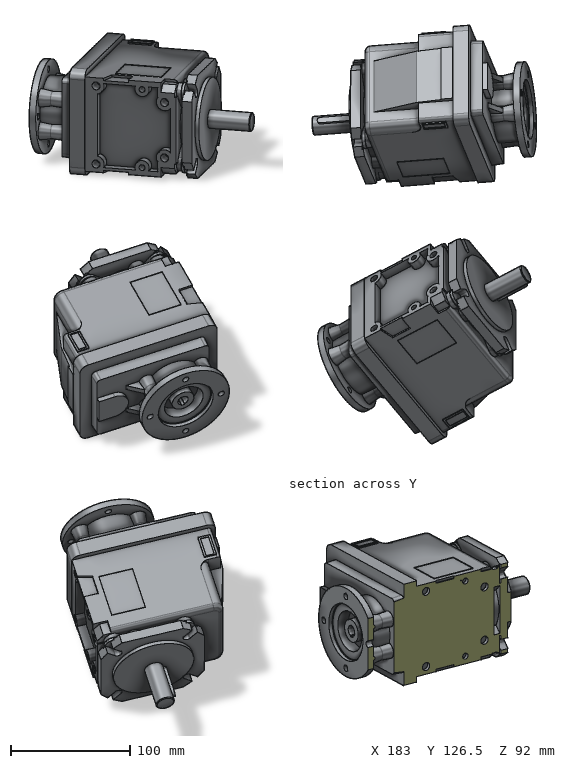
import cadquery as cq
import math


input_flange_end = 5.9
neck_waist = 16.1
pad_start = 26.5
plate_start = 36.5
box_start = 49.8
box_end = 128.0
adapter_root = box_end - 1.8
adapter_step = 132.1
output_flange_start = 134.7
output_flange_end = 143.1
pilot_end = 146.4
shaft_end = 183.0

overlap = 1.0
clearance = 1.8

plate_bottom = -44.5
plate_top = 80.9
plate_height = 92.0
plate_corner = 7.7
box_bottom = -44.1
box_top = 66.5
box_half_height = 41.2
box_top_round = 8.6
box_end_round = 4.5
outside_y = box_bottom - clearance

input_flange_dia = 80.0
input_bolt_circle = 65.0
input_bolt_dia = 5.5
input_pilot_dia = 50.0
input_pilot_depth = 4.0
pilot_floor_chamfer = 0.5
neck_dia = 53.0
neck_bore_dia = 35.1
neck_bore_end = 15.0
hub_dia = 20.0
hub_start = 5.7
hub_bore_dia = 9.3
hub_bore_end = 25.6
keyway_width = 3.0
keyway_reach = 5.5
screw_boss_y = 24.7
screw_boss_z = 14.3
boss_waist_radius = 6.2
boss_flange_radius = 7.9
boss_pad_radius = 7.0

output_half_width = 45.0
output_flat_half = 26.7
slot_mouth_inner = 34.4
slot_mouth_outer = 39.2
output_bolt_radius = 42.5
output_pilot_dia = 70.0
shaft_dia = 16.0
shaft_chamfer = 0.7
key_width = 5.0
key_start = 147.9
key_end = 177.9
key_top = 10.0


def x_plane(x):
    """Sketch plane facing +X at station x; its local axes are Y and Z."""
    return cq.Workplane("YZ", origin=(x, 0, 0))


def disc(start, end, dia, y=0.0, z=0.0):
    """Cylinder along X."""
    return x_plane(start).center(y, z).circle(dia / 2).extrude(end - start)


def block(x_range, y_range, z_range):
    """Box given by its lower and upper limits on each axis."""
    sizes = [high - low for low, high in (x_range, y_range, z_range)]
    corner = (x_range[0], y_range[0], z_range[0])
    return cq.Workplane("XY").box(*sizes, centered=False).translate(corner)


def slab(points, low, high):
    """Outline in X and Y, extruded along Z."""
    return cq.Workplane("XY", origin=(0, 0, low)).polyline(points).close().extrude(high - low)


def both_sides(shape):
    """The shape together with its mirror image across Z = 0."""
    return shape.union(shape.mirror("XY"))


def cover_plate():
    """Rounded plate between the box and the drafted pad."""
    return (
        x_plane(plate_start)
        .center((plate_top + plate_bottom) / 2, 0)
        .rect(plate_top - plate_bottom, plate_height)
        .extrude(box_start - plate_start)
        .edges("|X")
        .fillet(plate_corner)
    )


def cover_pad():
    """Drafted pad on the outer plate, narrowing towards -X."""
    pad_middle = 18.5
    pad_width = 103.5
    pad_height = 69.9
    pad_draft = 4
    pad_corner = 4.2
    outline = cq.Sketch().rect(pad_width, pad_height).vertices().fillet(pad_corner)
    base = cq.Plane(origin=(plate_start, pad_middle, 0), xDir=(0, -1, 0), normal=(-1, 0, 0))
    return cq.Workplane(base).placeSketch(outline).extrude(plate_start - pad_start, taper=pad_draft)


def cover_tongue():
    """Round-ended pad that stands on the cover pad."""
    tongue_start = 22.1
    tongue_top = 69.5
    tongue_round_y = 55.0
    tongue_radius = 12.5
    length = pad_start + overlap - tongue_start
    straight = block(
        (tongue_start, tongue_start + length),
        (tongue_round_y, tongue_top),
        (-tongue_radius, tongue_radius),
    )
    return straight.union(disc(tongue_start, tongue_start + length, 2 * tongue_radius, tongue_round_y))


def main_box():
    """Plain box with rounded +Y edges and a rounded +X end, flat at -Y."""
    box = block((box_start, box_end), (box_bottom, box_top), (-box_half_height, box_half_height))
    box = box.edges(">Y and |X").fillet(box_top_round)
    return box.faces(">X").edges("not <Y").fillet(box_end_round)


def shoulder():
    """Higher part of the box next to the plates, with a hollow rounded end."""
    shoulder_top = 77.0
    shoulder_round = 3.3
    base_y = box_top - 2 * box_top_round
    outline = (
        cq.Workplane("XY", origin=(0, 0, -box_half_height))
        .moveTo(box_start, base_y)
        .lineTo(box_start, shoulder_top)
        .lineTo(79.8, shoulder_top)
        .lineTo(79.8, box_top)
        .threePointArc((82.2, 60.4), (88.2, box_top - box_top_round))
        .lineTo(88.2, base_y)
        .close()
    )
    return outline.extrude(2 * box_half_height).edges(">Y and |X").fillet(shoulder_round)


def top_ridge():
    """Central ridge that runs down from the plates to the box."""
    ridge_half_width = 23.8
    ridge_top = 81.5
    points = [
        (box_start, box_top - box_top_round),
        (box_start, ridge_top),
        (59.8, ridge_top),
        (59.8, 80.3),
        (81.0, 78.5),
        (119.5, box_top),
        (119.5, box_top - box_top_round),
    ]
    return slab(points, -ridge_half_width, ridge_half_width)


def badge_frame():
    """Raised badge with a sunk middle."""
    badge_top = 42.3
    sunk_depth = 0.5
    badge = block((57.0, 77.2), (63.5, 74.1), (box_half_height - overlap, badge_top))
    sunk = block((58.7, 76.5), (65.3, 72.3), (badge_top - sunk_depth, badge_top))
    return badge.cut(sunk)


def end_slab():
    """Raised strip on the +X end behind the open side."""
    return block((box_end - overlap, 129.0), (box_bottom, -20.7), (-29.1, 29.1))


def nameplate_recesses():
    """Shallow rectangle and the slanted tag recess at the -Y edge."""
    plate_depth = 0.5
    tag_depth = 2.0
    above = box_half_height + clearance
    rectangle = block((71.5, 111.5), (-26.7, 2.5), (box_half_height - plate_depth, above))
    tag_points = [(65.5, outside_y), (69.9, -31.7), (87.7, -31.7), (87.7, outside_y)]
    return rectangle.union(slab(tag_points, box_half_height - tag_depth, above))


def corner_notch():
    """Flat-floored notch with a slope down to the -Y face."""
    notch_start = 116.0
    floor_z = 38.8
    slope_start_y = -38.6
    slope_end_z = 32.8
    above = box_half_height + clearance
    return (
        x_plane(notch_start)
        .polyline(
            [
                (-31.7, above),
                (-31.7, floor_z),
                (slope_start_y, floor_z),
                (box_bottom, slope_end_z),
                (outside_y, slope_end_z),
                (outside_y, above),
            ]
        )
        .close()
        .extrude(box_end - notch_start + clearance)
    )


def side_recess():
    """Recess in the -Y face that leaves the screw bosses standing, and the screw holes."""
    recess_depth = 7.9
    recess_start = 60.5
    wide_end = 113.1
    narrow_end = 124.3
    wide_half = 36.6
    narrow_half = 24.2
    hole_depth = 14.6
    screws = [
        (59.5, 34.0, 7.1, 6.8),
        (99.5, 34.0, 6.2, 5.0),
        (119.1, 24.2, 7.1, 6.8),
    ]
    floor_y = box_bottom + recess_depth
    recess = block((recess_start, wide_end), (outside_y, floor_y), (-wide_half, wide_half))
    recess = recess.union(
        block((recess_start, narrow_end), (outside_y, floor_y), (-narrow_half, narrow_half))
    )
    side_face = cq.Workplane("XZ", origin=(0, outside_y, 0))
    for x, z, boss_radius, hole_dia in screws:
        places = [(x, z), (x, -z)]
        centres = side_face.pushPoints(places)
        boss = centres.circle(boss_radius).extrude(-recess_depth - 2 * clearance)
        hole = centres.circle(hole_dia / 2).extrude(-hole_depth - clearance)
        recess = recess.cut(boss).union(hole)
    return recess


def input_neck():
    """Round neck with four waisted screw bosses and two gusset ribs."""
    neck = disc(input_flange_end - overlap, pad_start + overlap, neck_dia)
    boss = (
        cq.Workplane("XY")
        .moveTo(input_flange_end, 0)
        .lineTo(input_flange_end, boss_flange_radius)
        .lineTo(neck_waist, boss_waist_radius)
        .lineTo(pad_start, boss_pad_radius)
        .lineTo(pad_start, 0)
        .close()
        .revolve(360, (0, 0, 0), (1, 0, 0))
    )
    for y in (-screw_boss_y, screw_boss_y):
        for z in (-screw_boss_z, screw_boss_z):
            neck = neck.union(boss.translate((0, y, z)))
    rib_half = 2.4
    rib_points = [
        (neck_waist, screw_boss_y),
        (neck_waist, screw_boss_y + boss_waist_radius),
        (pad_start, 43.2),
        (pad_start + overlap, 43.2),
        (pad_start + overlap, screw_boss_y),
    ]
    return neck.union(both_sides(slab(rib_points, screw_boss_z - rib_half, screw_boss_z + rib_half)))


def input_bores():
    """Pilot recess, annular space round the hub, keyed hub bore and flange holes."""
    space = disc(0, input_pilot_depth, input_pilot_dia).faces(">X").chamfer(pilot_floor_chamfer)
    space = space.union(disc(0, neck_bore_end, neck_bore_dia))
    space = space.cut(disc(hub_start, neck_bore_end, hub_dia))
    space = space.union(disc(0, hub_bore_end, hub_bore_dia))
    keyway_half = keyway_width / 2
    space = space.union(
        block((hub_start, hub_bore_end), (-keyway_half, keyway_half), (-keyway_reach, 0))
    )
    bolts = (
        x_plane(0)
        .polarArray(input_bolt_circle / 2, 0, 360, 4)
        .circle(input_bolt_dia / 2)
        .extrude(input_flange_end)
    )
    return space.union(bolts)


def adapter():
    """Stepped hub between box and output flange, with round-ended arms."""
    hub_radius = 31.1
    arm_radius = 7.7
    steps = [
        (adapter_root, adapter_step, 50.9),
        (adapter_step, output_flange_start, 52.2),
    ]
    hub = disc(steps[0][0], steps[-1][1], 2 * hub_radius)
    for start, end, reach in steps:
        for angle in (45, 135):
            arm = x_plane(start).slot2D(2 * reach, 2 * arm_radius).extrude(end - start)
            hub = hub.union(arm.rotate((0, 0, 0), (1, 0, 0), angle))
    return both_sides(hub.union(side_lobe()))


def side_lobe():
    """Short lobe on the hub, just off its +Z side."""
    lobe_radius = 7.1
    lobe_y = -12.8
    lobe_z = 29.6
    return disc(adapter_root, output_flange_start, 2 * lobe_radius, lobe_y, lobe_z)


def output_flange():
    """Square flange whose chamfered corners carry open bolt slots."""
    slot_width = (slot_mouth_outer - slot_mouth_inner) * math.sqrt(2)
    spot_width = 13.0
    spot_depth = 1.0
    corner = [
        (output_half_width, output_flat_half),
        (slot_mouth_outer, slot_mouth_inner),
        (slot_mouth_inner, slot_mouth_outer),
        (output_flat_half, output_half_width),
    ]
    thickness = output_flange_end - output_flange_start
    outline = []
    for _ in range(4):
        outline += corner
        corner = [(-z, y) for y, z in corner]
    flange = x_plane(output_flange_start).polyline(outline).close().extrude(thickness)
    slot_length = 36.6
    for turn in range(4):
        for width, depth in ((slot_width, thickness), (spot_width, spot_depth)):
            slot = (
                x_plane(output_flange_start)
                .center(output_bolt_radius + slot_length / 2, 0)
                .slot2D(slot_length + width, width)
                .extrude(depth)
                .rotate((0, 0, 0), (1, 0, 0), 45 + 90 * turn)
            )
            flange = flange.cut(slot)
    return flange.union(disc(output_flange_end - overlap, pilot_end, output_pilot_dia))


def output_shaft():
    """Shaft with its round-ended key."""
    shaft = disc(pilot_end - overlap, shaft_end, shaft_dia).faces(">X").chamfer(shaft_chamfer)
    key_middle = (key_start + key_end) / 2
    key = (
        cq.Workplane("XZ", origin=(key_middle, 0, 0))
        .slot2D(key_end - key_start, key_width)
        .extrude(-key_top)
    )
    return shaft.union(key)


body = main_box()
for feature in (shoulder(), top_ridge(), end_slab(), both_sides(badge_frame())):
    body = body.union(feature)
body = body.cut(both_sides(nameplate_recesses()))
body = body.cut(both_sides(corner_notch()))
body = body.cut(side_recess())

input_side = disc(0, input_flange_end, input_flange_dia)
for feature in (input_neck(), cover_plate(), cover_pad(), cover_tongue()):
    input_side = input_side.union(feature)
input_side = input_side.cut(input_bores())

result = body.union(input_side)
for feature in (adapter(), output_flange(), output_shaft()):
    result = result.union(feature)